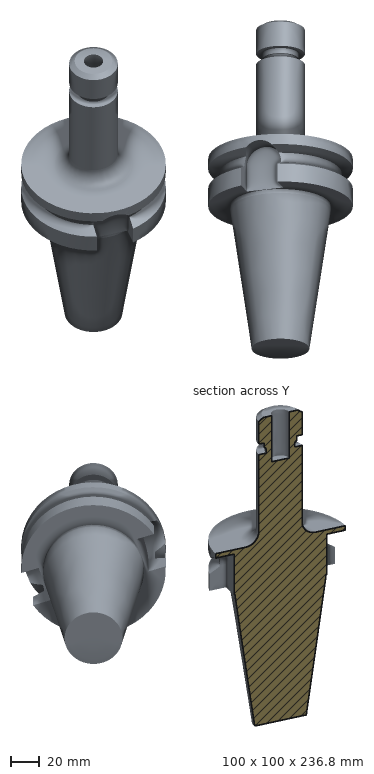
import cadquery as cq

total_height = 236.8
gauge_z = 101.8
gauge_collar_height = 2.8
flange_bottom_z = gauge_z + gauge_collar_height
flange_top_z = 139.7

taper_large_radius = 34.8
taper_ratio = 7 / 24
taper_small_radius = taper_large_radius - gauge_z * taper_ratio / 2

flange_radius = 50.0
lower_flange_radius = 50.0
groove_radius = 42.5
lower_rim_top_z = 117.7
groove_floor_bottom_z = 121.7
groove_floor_top_z = 128.5
upper_rim_bottom_z = 132.1

slot_width = 26.3
slot_floor_distance = 35.5
slot_top_z = 136.0

shank_radius = 16.8
shank_fillet = 10.0
shank_top_z = 208.9
neck_radius = 11.1
neck_cone_radius = 11.5
neck_cone_bottom_z = 211.5
neck_top_z = 213.0
collar_radius = 12.5
nut_bottom_z = 216.7
nut_chamfer_width = 3.8
nut_chamfer_height = 2.4

bore_radius = 6.6
bore_depth = 35.5


def turned_body():
    """Revolve the half profile (radius, height) about Z."""
    profile = (
        cq.Workplane("XZ")
        .moveTo(0, 0)
        .lineTo(taper_small_radius, 0)
        .lineTo(taper_large_radius, gauge_z)
        .lineTo(taper_large_radius, flange_bottom_z)
        .lineTo(lower_flange_radius, flange_bottom_z)
        .lineTo(lower_flange_radius, lower_rim_top_z)
        .lineTo(groove_radius, groove_floor_bottom_z)
        .lineTo(groove_radius, groove_floor_top_z)
        .lineTo(flange_radius, upper_rim_bottom_z)
        .lineTo(flange_radius, flange_top_z)
        .lineTo(shank_radius + shank_fillet, flange_top_z)
        .radiusArc((shank_radius, flange_top_z + shank_fillet), shank_fillet)
        .lineTo(shank_radius, shank_top_z)
        .lineTo(neck_radius, shank_top_z)
        .lineTo(neck_radius, neck_cone_bottom_z)
        .lineTo(neck_cone_radius, neck_top_z)
        .lineTo(collar_radius, neck_top_z)
        .lineTo(collar_radius, nut_bottom_z)
        .lineTo(shank_radius, nut_bottom_z)
        .lineTo(shank_radius, total_height - nut_chamfer_height)
        .lineTo(shank_radius - nut_chamfer_width, total_height)
        .lineTo(0, total_height)
        .close()
    )
    return profile.revolve(360, (0, 0, 0), (0, 1, 0))


def drive_slot(side):
    """Round-topped slot cutter, open downwards; side is -1 or +1 along X."""
    half_width = slot_width / 2
    arc_start_z = slot_top_z - half_width
    outline = (
        cq.Workplane("YZ", origin=(side * slot_floor_distance, 0, 0))
        .moveTo(-half_width, flange_bottom_z)
        .lineTo(-half_width, arc_start_z)
        .threePointArc((0, slot_top_z), (half_width, arc_start_z))
        .lineTo(half_width, flange_bottom_z)
        .close()
    )
    return outline.extrude(side * flange_radius)


def tool_bore():
    """Blind bore from the nut face."""
    return cq.Workplane("XY", origin=(0, 0, total_height)).circle(bore_radius).extrude(-bore_depth)


result = turned_body().cut(tool_bore())
for side in (-1, 1):
    result = result.cut(drive_slot(side))